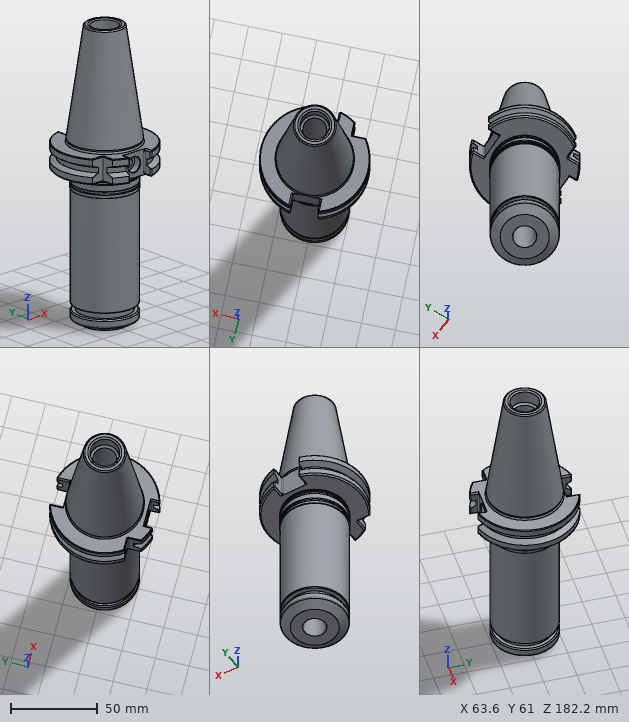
import cadquery as cq
import math

GAUGE_RADIUS = 44.45 / 2
TAPER_LENGTH = 68.4
TAPER_RATIO = 7 / 24
TAPER_TIP_RADIUS = GAUGE_RADIUS - TAPER_LENGTH * TAPER_RATIO / 2
TIP_CHAMFER = 0.75
TAPER_EXTENSION = 1.0
RELIEF_RADIUS = 22.1
RELIEF_Z = -2.0
RELIEF_FOOT_RADIUS = 22.8

FLANGE_RADIUS = 63.55 / 2
FLANGE_TOP = -3.2
FLANGE_BOTTOM = -19.1
FLANGE_CENTRE = -11.0
FLANGE_TOP_CHAMFER = 0.5
FLANGE_BOTTOM_CHAMFER = 0.9
GROOVE_CLEARANCE = 1.0
GROOVE_RADIUS = 56.25 / 2
GROOVE_FLOOR_WIDTH = 3.2
GROOVE_FLANK_ANGLE = 27

SLOT_WIDTH = 16.1
SLOT_FLOOR_FRONT = -25.0
SLOT_FLOOR_BACK = 22.5
SLOT_CORNER_FILLET = 0.8
SLOT_EDGE_CHAMFER = 0.9
NOTCH_CORNER = 18.1
NOTCH_FILLET = 0.4

PILOT_DIAMETER = 6.0
PILOT_DEPTH = 8.0
COUNTERBORE_DIAMETER = 10.0
COUNTERBORE_DEPTH = 4.8
COUNTERBORE_RIM_CHAMFER = 0.3
DRILL_POINT_ANGLE = 118

COLLAR_RADIUS = 40.5 / 2
BODY_RADIUS = 40.0 / 2
COLLAR_STEP = COLLAR_RADIUS - BODY_RADIUS
COLLAR_TOP = -20.4
COLLAR_BOTTOM = -30.95
BODY_GROOVE_CENTRES = (-22.05, -28.0)
BODY_GROOVE_WIDTH = 2.2
BODY_GROOVE_DEPTH = 0.5
COLLAR_ROOT_RADIUS = 19.75
BODY_BOTTOM = -101.5
BODY_CHAMFER = 0.5

NECK_RADIUS = 34.0 / 2
NUT_TOP = -105.5
NUT_BOTTOM = -113.85
NUT_CHAMFER = 0.8
NUT_LAND_BOTTOM = -109.8
NUT_FACE_RADIUS = 14.1
NUT_CONE_ANGLE = 30
NUT_EDGE_RADIUS = 19.75

BORE_RADIUS = 13.84 / 2
MOUTH_RADIUS = 17.0 / 2
MOUTH_DEPTH = 8.5
MOUTH_SEAT_DEPTH = 0.9
LEAD_IN_RADIUS = 19.5 / 2
LEAD_IN_DEPTH = 0.6


def revolve(points):
    """Solid of revolution about Z from (radius, z) points."""
    return cq.Workplane("XZ").polyline(points).close().revolve(360, (0, 0), (0, 1))


def make_shank():
    """Solid taper with its tip chamfer and the relief above the flange."""
    tip_edge_radius = TAPER_TIP_RADIUS + TIP_CHAMFER * TAPER_RATIO / 2
    taper_base_radius = GAUGE_RADIUS + TAPER_EXTENSION * TAPER_RATIO / 2
    return revolve([
        (0, TAPER_LENGTH),
        (TAPER_TIP_RADIUS - TIP_CHAMFER, TAPER_LENGTH),
        (tip_edge_radius, TAPER_LENGTH - TIP_CHAMFER),
        (taper_base_radius, -TAPER_EXTENSION),
        (RELIEF_RADIUS, RELIEF_Z),
        (RELIEF_FOOT_RADIUS, FLANGE_TOP),
        (0, FLANGE_TOP),
    ])


def make_flange_disc():
    """Plain disc of the flange."""
    disc = cq.Workplane("XY", origin=(0, 0, FLANGE_BOTTOM)).circle(FLANGE_RADIUS)
    return disc.extrude(FLANGE_TOP - FLANGE_BOTTOM)


def flange_envelope():
    """Notched flange disc with its upper and lower outlines chamfered."""
    disc = make_flange_disc().cut(orientation_notch())
    disc = disc.faces(">Z").edges().chamfer(FLANGE_TOP_CHAMFER)
    return disc.faces("<Z").edges().chamfer(FLANGE_BOTTOM_CHAMFER)


def drive_slot(floor_y):
    """Square-cornered slot cutter, open outward from its floor."""
    length = 2 * FLANGE_RADIUS
    cutter = cq.Workplane("XY").box(SLOT_WIDTH, length, length)
    return cutter.translate((0, floor_y + math.copysign(length / 2, floor_y), FLANGE_CENTRE))


def gripper_groove():
    """Ring cutter with a flat floor and sloping flanks."""
    half_floor = GROOVE_FLOOR_WIDTH / 2
    cut_radius = FLANGE_RADIUS + GROOVE_CLEARANCE
    half_mouth = half_floor + (cut_radius - GROOVE_RADIUS) * math.tan(math.radians(GROOVE_FLANK_ANGLE))
    return revolve([
        (GROOVE_RADIUS, FLANGE_CENTRE - half_floor),
        (cut_radius, FLANGE_CENTRE - half_mouth),
        (cut_radius, FLANGE_CENTRE + half_mouth),
        (GROOVE_RADIUS, FLANGE_CENTRE + half_floor),
    ])


def orientation_notch():
    """Square corner cutter whose inner vertical edge is rounded."""
    size = FLANGE_RADIUS
    centre = -NOTCH_CORNER - size / 2
    cutter = cq.Workplane("XY").box(size, size, size).edges("|Z and >(1, 1, 0)").fillet(NOTCH_FILLET)
    return cutter.translate((centre, centre, FLANGE_CENTRE))


def make_flange():
    """Flange with drive slots, orientation notch and gripper groove."""
    flange = make_flange_disc()
    for floor_y in (SLOT_FLOOR_FRONT, SLOT_FLOOR_BACK):
        flange = flange.cut(drive_slot(floor_y))
    flange = flange.faces("|X").edges("|Y or >Y or <Y").chamfer(SLOT_EDGE_CHAMFER)
    floor_corners = flange.faces("|Y").edges("|Z").edges(">X or <X")
    flange = floor_corners.fillet(SLOT_CORNER_FILLET)
    flange = flange.intersect(flange_envelope())
    return flange.cut(gripper_groove())


def make_body():
    """Cylinder below the flange with a grooved collar at its top."""
    groove_radius = COLLAR_RADIUS - BODY_GROOVE_DEPTH
    points = [
        (0, FLANGE_BOTTOM),
        (COLLAR_ROOT_RADIUS, FLANGE_BOTTOM),
        (COLLAR_RADIUS, COLLAR_TOP),
    ]
    for centre in BODY_GROOVE_CENTRES:
        upper_rim = centre + BODY_GROOVE_WIDTH / 2
        lower_rim = centre - BODY_GROOVE_WIDTH / 2
        points += [
            (COLLAR_RADIUS, upper_rim),
            (groove_radius, upper_rim - BODY_GROOVE_DEPTH),
            (groove_radius, lower_rim + BODY_GROOVE_DEPTH),
            (COLLAR_RADIUS, lower_rim),
        ]
    points += [
        (COLLAR_RADIUS, COLLAR_BOTTOM),
        (BODY_RADIUS, COLLAR_BOTTOM - COLLAR_STEP),
        (BODY_RADIUS, BODY_BOTTOM + BODY_CHAMFER),
        (BODY_RADIUS - BODY_CHAMFER, BODY_BOTTOM),
        (0, BODY_BOTTOM),
    ]
    return revolve(points)


def make_nut():
    """Neck and clamping nut with a conical face."""
    cone_height = (NUT_EDGE_RADIUS - NUT_FACE_RADIUS) * math.tan(math.radians(NUT_CONE_ANGLE))
    return revolve([
        (0, BODY_BOTTOM),
        (NECK_RADIUS, BODY_BOTTOM),
        (NECK_RADIUS, NUT_TOP),
        (BODY_RADIUS - NUT_CHAMFER, NUT_TOP),
        (BODY_RADIUS, NUT_TOP - NUT_CHAMFER),
        (BODY_RADIUS, NUT_LAND_BOTTOM),
        (NUT_EDGE_RADIUS, NUT_BOTTOM + cone_height),
        (NUT_FACE_RADIUS, NUT_BOTTOM),
        (0, NUT_BOTTOM),
    ])


def central_bore():
    """Through bore with a wider, chamfered mouth at the taper tip."""
    seat_top = TAPER_LENGTH - MOUTH_DEPTH
    return revolve([
        (0, TAPER_LENGTH),
        (LEAD_IN_RADIUS, TAPER_LENGTH),
        (MOUTH_RADIUS, TAPER_LENGTH - LEAD_IN_DEPTH),
        (MOUTH_RADIUS, seat_top),
        (BORE_RADIUS, seat_top - MOUTH_SEAT_DEPTH),
        (BORE_RADIUS, NUT_BOTTOM),
        (0, NUT_BOTTOM),
    ])


def slot_floor_hole():
    """Counterbored blind hole along Y with a conical drill point."""
    pilot_radius = PILOT_DIAMETER / 2
    mouth_radius = COUNTERBORE_DIAMETER / 2
    wall_radius = mouth_radius - COUNTERBORE_RIM_CHAMFER
    point_length = pilot_radius / math.tan(math.radians(DRILL_POINT_ANGLE / 2))
    step_y = SLOT_FLOOR_FRONT + COUNTERBORE_DEPTH
    end_y = SLOT_FLOOR_FRONT + PILOT_DEPTH
    profile = cq.Workplane("XY").polyline([
        (0, SLOT_FLOOR_FRONT),
        (mouth_radius, SLOT_FLOOR_FRONT),
        (wall_radius, SLOT_FLOOR_FRONT + COUNTERBORE_RIM_CHAMFER),
        (wall_radius, step_y),
        (pilot_radius, step_y),
        (pilot_radius, end_y),
        (0, end_y + point_length),
    ]).close()
    hole = profile.revolve(360, (0, 0), (0, 1))
    return hole.translate((0, 0, FLANGE_CENTRE))


shank = make_shank().cut(drive_slot(SLOT_FLOOR_BACK))
result = shank.union(make_flange()).union(make_body()).union(make_nut())
result = result.cut(central_bore()).cut(slot_floor_hole())